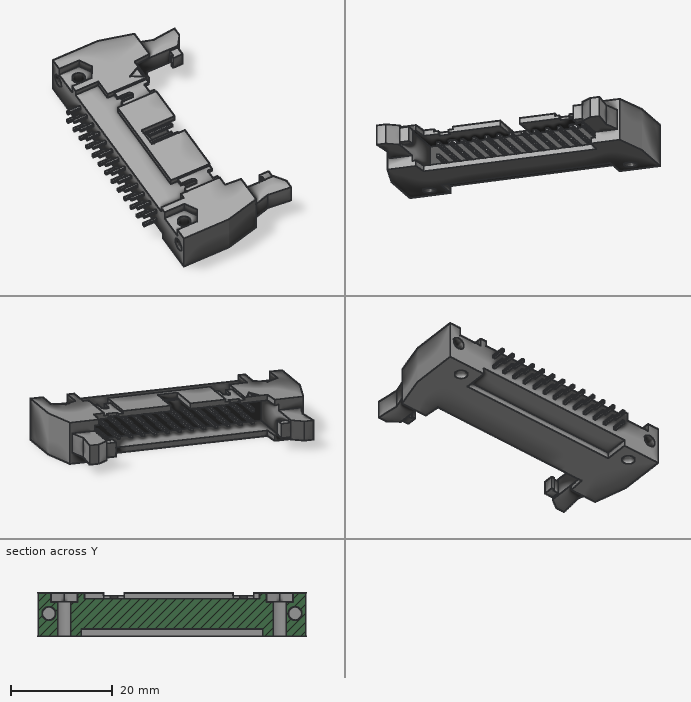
import cadquery as cq

half_length = 26.3
height = 8.5
mouth_y = 13.85
tower_top_y = 17.3
shoulder_y = 10.15
tower_outer_x = 24.4
tower_inner_top_x = 18.4
tower_inner_base_x = 18.15
mid_z = height / 2

wall = 1.15
cavity_floor_y = 7.35
wall_inner_z = height - wall

recess_depth_y = 5.1
top_recess_half_length = 17.15
bottom_recess_half_length = 17.8
bottom_recess_height = 1.4

key_width = 4.1
key_start_y = 6.4

pin_columns = 13
pin_row_length = 30.5
pin_pitch = pin_row_length / (pin_columns - 1)
pin_size = 0.5
pin_tail = 2.9
pin_tip_y = 13.5

groove_spacing_pitches = 10
groove_left_x = -11.4
groove_centers = (groove_left_x, groove_left_x + groove_spacing_pitches * pin_pitch)
groove_width = 4.0
groove_depth = 0.5
groove_sheet_y = 6.65
slot_width = 1.45
slot_end_y = 9.7
mouth_notch_width = 2.15
mouth_notch_depth = 1.0

mount_x = 21.15
mount_hole_y = 2.95
mount_hole_diameter = 2.6
mount_pocket_width = 5.15
mount_pocket_side_y = 4.45
mount_pocket_tip_y = 5.95
mount_pocket_depth = 1.8
end_hole_x = 24.15
end_hole_z = 4.45
end_hole_depth = 5.25

triangle_x = -15.25
triangle_half_width = 1.25
triangle_base_y = 13.5
triangle_tip_y = 11.15
triangle_depth = 0.2

latch_thickness = 4.0
latch_top_y = 25.8
latch_inner_x = 19.2
latch_root_x = 23.95
latch_waist_x = 22.9
latch_waist_y = 20.8
latch_tip_outer_x = 23.4
latch_tip_inner_x = 21.45
hook_top_y = 24.15
hook_bottom_y = 22.35
hook_lip_y = 22.0
hook_tip_x = 17.25
hook_lip_x = 17.9
hook_thickness = 2.95


def block(x_range, y_range, z_range):
    """Box spanning the given (low, high) ranges."""
    (x0, x1), (y0, y1), (z0, z1) = x_range, y_range, z_range
    return cq.Workplane("XY").box(x1 - x0, y1 - y0, z1 - z0, centered=False).translate((x0, y0, z0))


def plate(points, z_range):
    """Closed outline in XY, extruded over a (low, high) range in Z."""
    z0, z1 = z_range
    return cq.Workplane("XY").workplane(offset=z0).polyline(points).close().extrude(z1 - z0)


def centered(middle, width):
    """Range of the given width about a middle value."""
    return (middle - width / 2, middle + width / 2)


def both_ends(shape):
    """The shape together with its mirror image in the YZ plane."""
    return shape.union(shape.mirror("YZ"))


def housing_blank():
    right_side = [
        (half_length, 0),
        (half_length, shoulder_y),
        (tower_outer_x, tower_top_y),
        (tower_inner_top_x, tower_top_y),
        (tower_inner_base_x, mouth_y),
    ]
    left_side = [(-x, y) for x, y in reversed(right_side)]
    return plate(right_side + left_side, (0, height))


def cavity():
    """Mating cavity, open at the mouth and between the towers up to the latch arms."""
    x_range = centered(0, 2 * latch_inner_x)
    return block(x_range, (cavity_floor_y, tower_top_y), (wall, wall_inner_z))


def solder_side_recesses():
    y_range = (0, recess_depth_y)
    top = block(centered(0, 2 * top_recess_half_length), y_range, (wall_inner_z, height))
    bottom = block(centered(0, 2 * bottom_recess_half_length), y_range, (0, bottom_recess_height))
    return top.union(bottom)


def key_notch():
    return block(centered(0, key_width), (key_start_y, mouth_y), (wall_inner_z, height))


def groove(x):
    """Shallow groove with a deep step, a round-ended slot and a notch at the mouth."""
    through_wall = (wall_inner_z, height)
    channel = block(centered(x, groove_width), (recess_depth_y, mouth_y), (height - groove_depth, height))
    step = block(centered(x, groove_width), (recess_depth_y, groove_sheet_y), through_wall)
    round_y = slot_end_y - slot_width / 2
    slot = block(centered(x, slot_width), (groove_sheet_y, round_y), through_wall)
    slot_end = (
        cq.Workplane("XY")
        .workplane(offset=wall_inner_z)
        .center(x, round_y)
        .circle(slot_width / 2)
        .extrude(wall)
    )
    notch = block(centered(x, mouth_notch_width), (mouth_y - mouth_notch_depth, mouth_y), through_wall)
    return channel.union(step).union(slot).union(slot_end).union(notch)


def mounting_cuts():
    left, right = centered(mount_x, mount_pocket_width)
    outline = [
        (left, 0),
        (right, 0),
        (right, mount_pocket_side_y),
        (mount_x, mount_pocket_tip_y),
        (left, mount_pocket_side_y),
    ]
    pocket = plate(outline, (height - mount_pocket_depth, height))
    radius = mount_hole_diameter / 2
    hole = cq.Workplane("XY").center(mount_x, mount_hole_y).circle(radius).extrude(height)
    end_hole = cq.Workplane("XZ").center(end_hole_x, end_hole_z).circle(radius).extrude(-end_hole_depth)
    return both_ends(pocket.union(hole).union(end_hole))


def pin_one_mark():
    outline = [
        (triangle_x - triangle_half_width, triangle_base_y),
        (triangle_x + triangle_half_width, triangle_base_y),
        (triangle_x, triangle_tip_y),
    ]
    return plate(outline, (height - triangle_depth, height))


def latches():
    arm_outline = [
        (latch_inner_x, tower_top_y),
        (latch_root_x, tower_top_y),
        (latch_waist_x, latch_waist_y),
        (latch_tip_outer_x, latch_top_y),
        (latch_tip_inner_x, latch_top_y),
        (latch_inner_x, hook_top_y),
    ]
    hook_outline = [
        (latch_inner_x, hook_top_y),
        (hook_tip_x, hook_top_y),
        (hook_tip_x, hook_lip_y),
        (hook_lip_x, hook_lip_y),
        (hook_lip_x, hook_bottom_y),
        (latch_inner_x, hook_bottom_y),
    ]
    arm = plate(arm_outline, centered(mid_z, latch_thickness))
    hook = plate(hook_outline, centered(mid_z, hook_thickness))
    return both_ends(arm.union(hook))


def pins():
    y_range = (-pin_tail, pin_tip_y)
    contacts = cq.Workplane("XY")
    for column in range(pin_columns):
        x = column * pin_pitch - pin_row_length / 2
        for z in centered(mid_z, pin_pitch):
            contacts = contacts.add(block(centered(x, pin_size), y_range, centered(z, pin_size)))
    return contacts.combine()


housing = housing_blank().cut(cavity())
housing = housing.cut(solder_side_recesses()).cut(key_notch())
for groove_x in groove_centers:
    housing = housing.cut(groove(groove_x))
housing = housing.cut(mounting_cuts()).cut(pin_one_mark())

result = housing.union(latches()).union(pins())